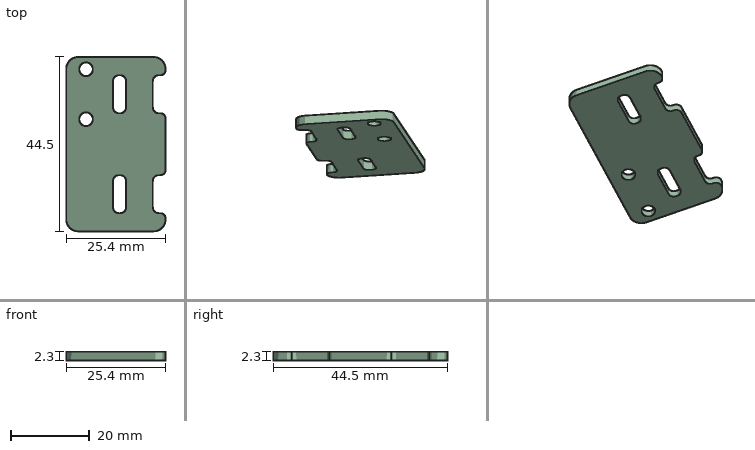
import cadquery as cq

width = 25.4
length = 44.45
thickness = 2.3
corner_radius = 3.15

station_y = 12.7
slot_length = 9.6
slot_width = 3.25
slot_x = 0.95
notch_depth = 3.25
cutout_radius = 1.42

hole_diameter = 3.42
hole_pitch = station_y
hole_x = -7.6

station_points = (-station_y, station_y)


def make_plate():
    """Flat plate with rounded vertical corners."""
    plate = cq.Workplane("XY").box(width, length, thickness, centered=(True, True, False))
    return plate.edges("|Z").fillet(corner_radius)


def notch_cutter(center_y):
    """Notch in the +X edge, with rounded floor corners and flared mouth corners."""
    edge_x = width / 2
    floor_x = edge_x - notch_depth
    pocket = (
        cq.Workplane("XY")
        .center(floor_x + notch_depth / 2, center_y)
        .rect(notch_depth, slot_length)
        .extrude(thickness)
        .edges("|Z and <X")
        .fillet(cutout_radius)
    )
    for side in (-1, 1):
        wall_y = center_y + side * slot_length / 2
        rounded_y = wall_y + side * cutout_radius
        mouth = (
            cq.Workplane("XY")
            .moveTo(edge_x, wall_y)
            .lineTo(edge_x - cutout_radius, wall_y)
            .radiusArc((edge_x, rounded_y), -side * cutout_radius)
            .close()
            .extrude(thickness)
        )
        pocket = pocket.union(mouth)
    return pocket


def slot_cutters():
    """Slots running along Y, with a short flat between the end corners."""
    return (
        cq.Workplane("XY")
        .pushPoints([(slot_x, y) for y in station_points])
        .rect(slot_width, slot_length)
        .extrude(thickness)
        .edges("|Z")
        .fillet(cutout_radius)
    )


def hole_cutters():
    """Round through holes."""
    hole_points = [(hole_x, station_y + side * hole_pitch / 2) for side in (-1, 1)]
    return cq.Workplane("XY").pushPoints(hole_points).circle(hole_diameter / 2).extrude(thickness)


result = make_plate().cut(slot_cutters()).cut(hole_cutters())
for y in station_points:
    result = result.cut(notch_cutter(y))